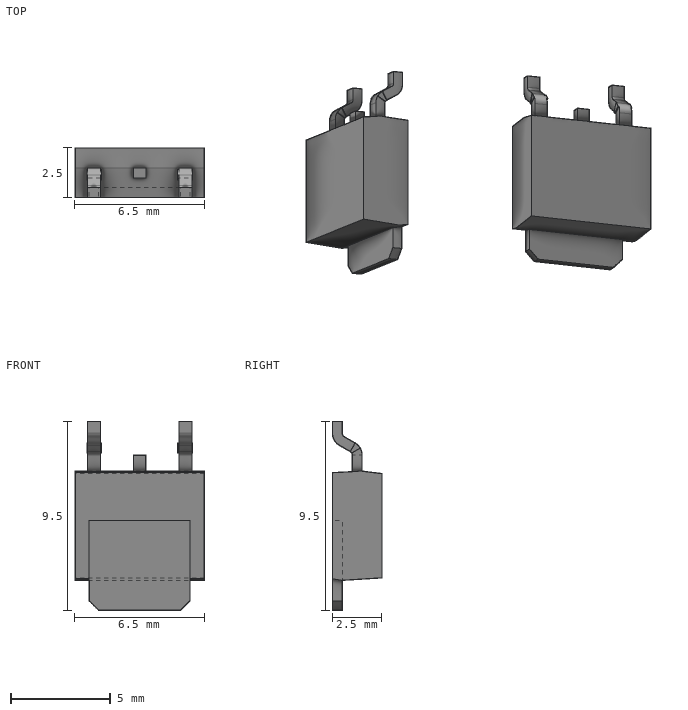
import cadquery as cq
import math

TOTAL_HEIGHT = 9.5
SHEET = 0.5

HOUSING_WIDTH = 6.5
HOUSING_DEPTH = 2.5
HOUSING_TOP = 7.0
HOUSING_BOTTOM = 1.5
TOP_BACK_DROP = 0.12
TOP_FRONT_DROP = 0.08
BOTTOM_BACK_RISE = 0.12
BOTTOM_FRONT_RISE = 0.09

TAB_WIDTH = 5.07
TAB_HEIGHT = 4.5
TAB_CHAMFER = 0.475

LEAD_OFFSET = 1.0
LEAD_FRONT = LEAD_OFFSET
LEAD_BACK = LEAD_FRONT + SHEET
LEAD_WIDTH = 0.665
LEAD_PITCH = 4.6
SHORT_LEAD_WIDTH = 0.64
LEAD_TIP = 0.6
INNER_RADIUS = 0.2
OUTER_RADIUS = INNER_RADIUS + SHEET
BEND_ANGLE = 60.0

STUB_START_ANGLE = 30.0
STUB_OUTER_EXTRA = 0.03
STUB_INNER_EXTRA = 0.06

mid_radius = INNER_RADIUS + SHEET / 2
bend_sin = math.sin(math.radians(BEND_ANGLE))
bend_cos = math.cos(math.radians(BEND_ANGLE))
slope_length = (LEAD_OFFSET - 2 * mid_radius * (1 - bend_cos)) / bend_sin
bend_spacing = 2 * mid_radius * bend_sin + slope_length * bend_cos
upper_center = (OUTER_RADIUS, TOTAL_HEIGHT - LEAD_TIP)
lower_center = (LEAD_FRONT - INNER_RADIUS, upper_center[1] - bend_spacing)
short_lead_top = lower_center[1]


def side_sketch(x):
    """Workplane in (Y, Z) at the given X, extruding toward +X."""
    return cq.Workplane("YZ", origin=(x, 0, 0))


def lower_arc_point(radius, angle):
    """Point on the lower bend, with the angle measured up from +Y."""
    turn = math.radians(angle)
    return (lower_center[0] + radius * math.cos(turn), lower_center[1] + radius * math.sin(turn))


def upper_arc_point(radius, angle):
    """Point on the upper bend, with the angle measured down from -Y."""
    turn = math.radians(angle)
    return (upper_center[0] - radius * math.cos(turn), upper_center[1] - radius * math.sin(turn))


def make_tab():
    """Flat plate with two chamfered lower corners."""
    return (
        cq.Workplane("XY")
        .box(TAB_WIDTH, SHEET, TAB_HEIGHT, centered=(True, False, False))
        .faces("<Z").edges("|Y").chamfer(TAB_CHAMFER)
    )


def make_housing():
    """Block with ridged top and bottom, before the tab recess is cut."""
    profile = [
        (0, HOUSING_BOTTOM + BOTTOM_FRONT_RISE),
        (SHEET, HOUSING_BOTTOM),
        (HOUSING_DEPTH, HOUSING_BOTTOM + BOTTOM_BACK_RISE),
        (HOUSING_DEPTH, HOUSING_TOP - TOP_BACK_DROP),
        (LEAD_BACK, HOUSING_TOP),
        (0, HOUSING_TOP - TOP_FRONT_DROP),
    ]
    return side_sketch(-HOUSING_WIDTH / 2).polyline(profile).close().extrude(HOUSING_WIDTH)


def make_foot(lead_top_profile):
    """Close an upright lead outline along the sloping housing top."""
    slope = TOP_FRONT_DROP / LEAD_BACK
    return (
        lead_top_profile
        .lineTo(LEAD_FRONT, HOUSING_TOP - slope * SHEET)
        .lineTo(LEAD_BACK, HOUSING_TOP)
        .close()
    )


def make_short_lead():
    """Straight middle lead standing on the housing."""
    outline = (
        side_sketch(-SHORT_LEAD_WIDTH / 2)
        .moveTo(LEAD_BACK, short_lead_top)
        .lineTo(LEAD_FRONT, short_lead_top)
    )
    return make_foot(outline).extrude(SHORT_LEAD_WIDTH)


def make_stub(x_start, width):
    """Ring sector that widens the upper part of the lower bend."""
    mid_angle = (STUB_START_ANGLE + BEND_ANGLE) / 2
    return (
        side_sketch(x_start)
        .moveTo(*lower_arc_point(OUTER_RADIUS, STUB_START_ANGLE))
        .threePointArc(lower_arc_point(OUTER_RADIUS, mid_angle), lower_arc_point(OUTER_RADIUS, BEND_ANGLE))
        .lineTo(*lower_arc_point(INNER_RADIUS, BEND_ANGLE))
        .threePointArc(
            lower_arc_point(INNER_RADIUS, mid_angle), lower_arc_point(INNER_RADIUS, STUB_START_ANGLE)
        )
        .close()
        .extrude(width)
    )


def make_bent_lead(side):
    """S-bent lead; side is -1 for the left lead and 1 for the right one."""
    center_x = side * LEAD_PITCH / 2
    half_bend = BEND_ANGLE / 2
    outline = (
        side_sketch(center_x - LEAD_WIDTH / 2)
        .moveTo(LEAD_BACK, lower_center[1])
        .threePointArc(lower_arc_point(OUTER_RADIUS, half_bend), lower_arc_point(OUTER_RADIUS, BEND_ANGLE))
        .lineTo(*upper_arc_point(INNER_RADIUS, BEND_ANGLE))
        .threePointArc(upper_arc_point(INNER_RADIUS, half_bend), upper_arc_point(INNER_RADIUS, 0))
        .lineTo(SHEET, TOTAL_HEIGHT)
        .lineTo(0, TOTAL_HEIGHT)
        .lineTo(*upper_arc_point(OUTER_RADIUS, 0))
        .threePointArc(upper_arc_point(OUTER_RADIUS, half_bend), upper_arc_point(OUTER_RADIUS, BEND_ANGLE))
        .lineTo(*lower_arc_point(INNER_RADIUS, BEND_ANGLE))
        .threePointArc(lower_arc_point(INNER_RADIUS, half_bend), lower_arc_point(INNER_RADIUS, 0))
    )
    strip = make_foot(outline).extrude(LEAD_WIDTH)
    left_extra = STUB_INNER_EXTRA if side > 0 else STUB_OUTER_EXTRA
    stub_width = LEAD_WIDTH + STUB_INNER_EXTRA + STUB_OUTER_EXTRA
    return strip.union(make_stub(center_x - LEAD_WIDTH / 2 - left_extra, stub_width))


tab = make_tab()
housing = make_housing().cut(tab)
short_lead = make_short_lead()
bent_leads = [make_bent_lead(side) for side in (-1, 1)]

result = cq.Compound.makeCompound(
    [body.solids().val() for body in (housing, tab, short_lead, *bent_leads)]
)